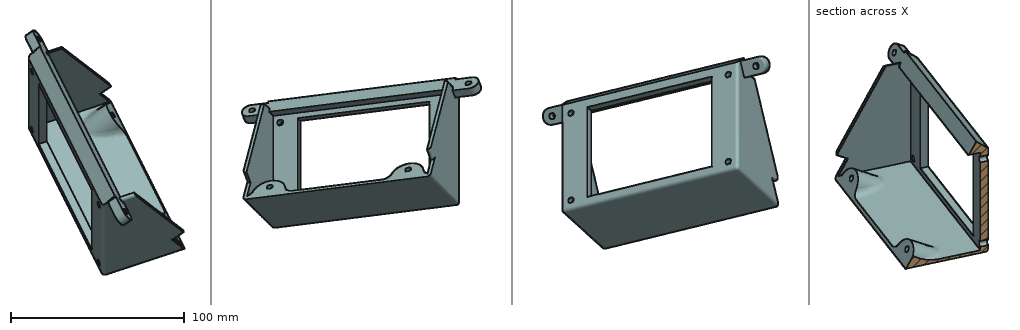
import cadquery as cq
import math

SIDES = (-1, 1)

LEAN = math.radians(30)
SIN = math.sin(LEAN)
COS = math.cos(LEAN)

WIDTH = 114.6
DEPTH = 51.39
HEIGHT = 69.8
TOTAL_HEIGHT = 76.01
WALL = 2.2
INNER_WIDTH = WIDTH - 2 * WALL
ROOF_UNDERSIDE = HEIGHT - WALL
FRONT_THICKNESS = 5.0
EDGE_RADIUS = 2.0

OPENING_WIDTH = 80.6
OPENING_HEIGHT = 58.6
OPENING_BOTTOM = 5.8
HOLE_RADIUS = 1.75
FRONT_HOLE_INSET = 6.3
FRONT_HOLE_PITCH_Z = 56.8

FLANGE_OVERHANG = 8.0
FLANGE_START = 14.8

EAR_REACH = 15.0
EAR_WIDTH = 10.0
EAR_THICKNESS = 6.0
EAR_RIM_RADIUS = 1.0
EAR_CENTER = 81.4
EAR_HOLE_FROM_TIP = 6.2
EAR_TIP_X = WIDTH / 2 + EAR_REACH

BOSS_X = 42.3
BOSS_RADIUS = 10.0
BOSS_CENTER = 4.2
BOSS_HOLE_CENTER = 8.7
BOSS_HOLE_DEPTH = 8.0
BOSS_FILLET = 5.0

BEYOND = 200.0
OVERLAP = 1.0
TOLERANCE = 0.01


def plane_point(up, out=0.0):
    """(y, z) of a point a distance up the mounting plane and a distance out behind it."""
    return (DEPTH - up * SIN + out * COS, up * COS + out * SIN)


def plane_point_at_height(z):
    """(y, z) of the point on the mounting plane at height z."""
    return plane_point(z / COS)


def on_mounting_plane(x, up):
    """Workplane on the mounting plane, its normal pointing forward into the housing."""
    y, z = plane_point(up)
    return cq.Workplane(cq.Plane(origin=(x, y, z), xDir=(-1, 0, 0), normal=(0, -COS, -SIN)))


def prism(outline, width):
    """Prism along X, centred on X = 0, with the given (y, z) outline."""
    return cq.Workplane("YZ").polyline(outline).close().extrude(width / 2, both=True)


def region_behind_plane(width, up_from, up_to, out):
    """Everything farther than out behind the mounting plane, over a stretch of its slope."""
    outline = [
        plane_point(up_from, out),
        plane_point(up_to, out),
        plane_point(up_to, out + BEYOND),
        plane_point(up_from, out + BEYOND),
    ]
    return prism(outline, width)


def rounded_block(height):
    """Overlong block with its front upright edges and its lower edges rounded."""
    block = cq.Workplane("XY").box(WIDTH, 2 * DEPTH, height, centered=(True, False, False))
    return block.edges("(|Z and <Y) or (<Z and (not >Y))").fillet(EDGE_RADIUS)


def make_shell():
    """Hollow box cut off along the mounting plane, apart from the two side flanges."""
    shell = rounded_block(HEIGHT).edges(">Z and |Y").fillet(EDGE_RADIUS)
    shell = shell.cut(region_behind_plane(WIDTH, -BEYOND, FLANGE_START, 0))
    shell = shell.cut(region_behind_plane(WIDTH, FLANGE_START, BEYOND, FLANGE_OVERHANG))

    step_y, step_z = plane_point(FLANGE_START, FLANGE_OVERHANG / 2)
    for side in SIDES:
        step_edge = cq.selectors.NearestToPointSelector((side * WIDTH / 2, step_y, step_z))
        shell = shell.edges(step_edge).fillet(EDGE_RADIUS)

    shell = shell.cut(region_behind_plane(INNER_WIDTH, -BEYOND, BEYOND, 0))
    cavity = [
        (FRONT_THICKNESS, WALL),
        (BEYOND, WALL),
        (BEYOND, ROOF_UNDERSIDE),
        (FRONT_THICKNESS, ROOF_UNDERSIDE),
    ]
    return shell.cut(prism(cavity, INNER_WIDTH))


def make_ridge():
    """Ridge over the roof: sloped in front, following the mounting plane behind."""
    outline = [
        (0, ROOF_UNDERSIDE),
        (0, HEIGHT),
        plane_point_at_height(TOTAL_HEIGHT),
        plane_point_at_height(ROOF_UNDERSIDE),
    ]
    return rounded_block(TOTAL_HEIGHT).intersect(prism(outline, WIDTH))


def make_ear(side):
    """Round-ended tab lying on the mounting plane, with its front rim rounded."""
    end_x = side * (EAR_TIP_X - EAR_WIDTH / 2)
    root_x = side * (WIDTH / 2 - OVERLAP)
    bar = on_mounting_plane((end_x + root_x) / 2, EAR_CENTER).rect(abs(end_x - root_x), EAR_WIDTH)
    tip = on_mounting_plane(end_x, EAR_CENTER).circle(EAR_WIDTH / 2)
    ear = bar.extrude(EAR_THICKNESS).union(tip.extrude(EAR_THICKNESS))

    front_face = cq.selectors.DirectionMinMaxSelector(cq.Vector(0, -COS, -SIN))
    all_but_root = "not <X" if side > 0 else "not >X"
    return ear.faces(front_face).edges(all_but_root).fillet(EAR_RIM_RADIUS)


def make_ear_hole(side):
    x = side * (EAR_TIP_X - EAR_HOLE_FROM_TIP)
    return on_mounting_plane(x, EAR_CENTER).circle(HOLE_RADIUS).extrude(EAR_THICKNESS)


def make_boss(side):
    """Cylinder square to the mounting plane, blended into the floor and trimmed to the housing."""
    x = side * BOSS_X
    ground = cq.Workplane("XY").box(BEYOND, BEYOND, BEYOND, centered=(True, True, False))
    ground = ground.translate((x, DEPTH, WALL - BEYOND))
    cylinder = on_mounting_plane(x, BOSS_CENTER).circle(BOSS_RADIUS)
    boss = ground.union(cylinder.extrude(BEYOND / 4, both=True))

    foot = cq.selectors.BoxSelector(
        (x - BOSS_RADIUS, 0, WALL - TOLERANCE),
        (x + BOSS_RADIUS, DEPTH + BEYOND / 4, WALL + TOLERANCE),
    )
    boss = boss.edges(foot).fillet(BOSS_FILLET)

    bottom = WALL / 2
    top = HEIGHT / 2
    interior = [
        (FRONT_THICKNESS, bottom),
        plane_point_at_height(bottom),
        plane_point_at_height(top),
        (FRONT_THICKNESS, top),
    ]
    return boss.intersect(prism(interior, WIDTH - WALL))


def make_boss_hole(side):
    return on_mounting_plane(side * BOSS_X, BOSS_HOLE_CENTER).circle(HOLE_RADIUS).extrude(BOSS_HOLE_DEPTH)


def make_opening():
    """Rectangular screen opening through the front plate."""
    opening = cq.Workplane("XZ").center(0, OPENING_BOTTOM + OPENING_HEIGHT / 2)
    return opening.rect(OPENING_WIDTH, OPENING_HEIGHT).extrude(-FRONT_THICKNESS)


def make_front_holes():
    """Four holes through the front plate, around the screen opening."""
    pitch_x = WIDTH - 2 * FRONT_HOLE_INSET
    holes = cq.Workplane("XZ").center(0, FRONT_HOLE_INSET + FRONT_HOLE_PITCH_Z / 2)
    holes = holes.rect(pitch_x, FRONT_HOLE_PITCH_Z, forConstruction=True).vertices()
    return holes.circle(HOLE_RADIUS).extrude(-FRONT_THICKNESS)


result = make_shell().union(make_ridge())
for side in SIDES:
    result = result.union(make_ear(side))
    result = result.union(make_boss(side))
    result = result.cut(make_ear_hole(side))
    result = result.cut(make_boss_hole(side))
result = result.cut(make_opening())
result = result.cut(make_front_holes())